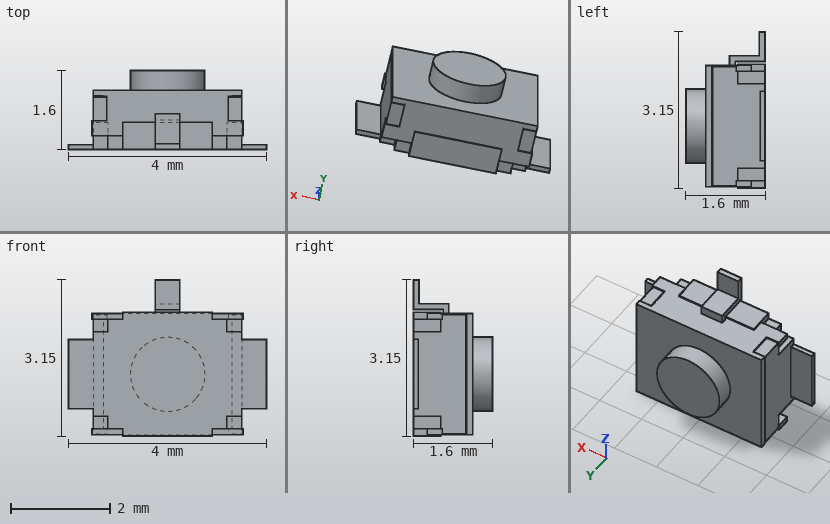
import cadquery as cq


housing_half_width = 1.5
housing_half_height = 1.2
housing_depth = 1.06
step_depth = 0.55
corner_half_width = 1.2
corner_half_height = 0.85
pad_half_width = 0.9
pad_half_height = 1.25

terminal_half_span = 2.0
terminal_half_height = 0.7
terminal_thickness = 0.1

sheet = 0.12
cover_face = 1.2
cover_inner_face = cover_face - sheet
cover_half_height = 1.225
cover_inner_half_height = cover_half_height - sheet
flap_half_width = 1.225
arm_half_width = 1.525
arm_front = 0.28
arm_back = 0.58

spacer_half_width = 1.3

button_radius = 0.75
button_face = 1.6

lever_half_width = 0.25
lever_top = 1.9
lever_back = 0.72
shelf_top = 1.42
shelf_bottom = shelf_top - sheet


def block(half_width, y_start, y_end, z_start, z_end):
    """Box centred on X = 0, between the given Y and Z limits."""
    return cq.Workplane("XY").box(
        2 * half_width, y_end - y_start, z_end - z_start, centered=(True, False, False)
    ).translate((0, y_start, z_start))


def slab(half_width, half_height, y_start, y_end):
    """Box centred on the button axis, between two Y positions."""
    return block(half_width, y_start, y_end, -half_height, half_height)


def make_housing():
    """Full block at the back, with a cross-shaped stepped part in front of it."""
    back = slab(housing_half_width, housing_half_height, step_depth, housing_depth)
    wide_step = slab(housing_half_width, corner_half_height, 0, step_depth)
    tall_step = slab(corner_half_width, cover_inner_half_height, 0, step_depth)
    pad = slab(pad_half_width, pad_half_height, 0, step_depth)
    return back.union(wide_step).union(tall_step).union(pad)


def make_terminals():
    return slab(terminal_half_span, terminal_half_height, 0, terminal_thickness)


def make_cover():
    """Back plate with a T-shaped flap folded over the top and the bottom."""
    cover = slab(housing_half_width, cover_half_height, cover_inner_face, cover_face)
    for z_start in (cover_inner_half_height, -cover_half_height):
        z_end = z_start + sheet
        cover = cover.union(block(flap_half_width, arm_front, cover_inner_face, z_start, z_end))
        cover = cover.union(block(arm_half_width, arm_front, arm_back, z_start, z_end))
    return cover


def make_spacer():
    """Plate filling the middle of the gap between the housing and the cover."""
    return slab(spacer_half_width, cover_inner_half_height, housing_depth, cover_inner_face)


def make_lever():
    """Z-bent strip that rises from the cover, runs forward and turns up."""
    profile = [
        (0, shelf_bottom),
        (0, lever_top),
        (sheet, lever_top),
        (sheet, shelf_top),
        (lever_back, shelf_top),
        (lever_back, cover_inner_half_height),
        (lever_back - sheet, cover_inner_half_height),
        (lever_back - sheet, shelf_bottom),
    ]
    return cq.Workplane("YZ").polyline(profile).close().extrude(lever_half_width, both=True)


def make_button():
    base = cq.Workplane("XZ", origin=(0, cover_inner_face, 0)).circle(button_radius)
    return base.extrude(cover_inner_face - button_face)


result = make_housing()
for piece in (make_terminals(), make_cover(), make_spacer(), make_lever(), make_button()):
    result = result.union(piece)